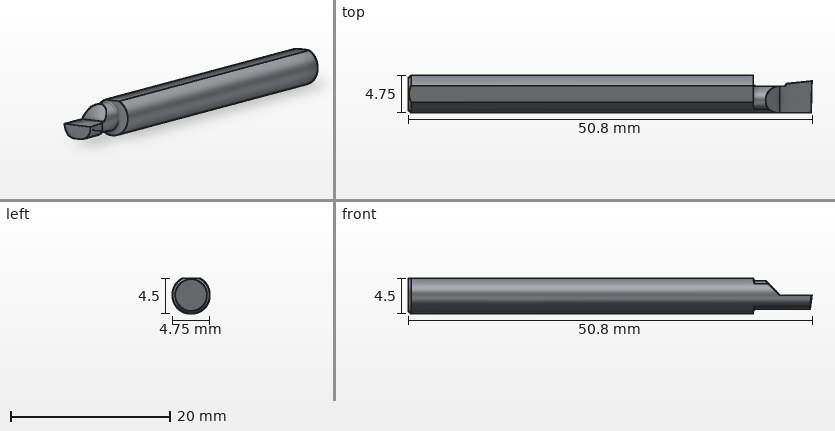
import cadquery as cq
import math

overall_length = 50.8
shank_diameter = 4.75
shank_radius = shank_diameter / 2
flat_height = 4.5
shank_length = 43.42
back_chamfer = 0.38

neck_radius = 1.8
neck_side_y = 1.0
neck_center_y = neck_side_y - neck_radius
root_fillet = 0.25

rake_face_z = 0.0
ramp_foot_x = 46.72
ramp_angle = 45.5

wing_start_x = 47.4
wing_step_length = 0.2
wing_start_y = 1.32
tip_y = 1.65
end_lean_angle = 1.5
end_relief_angle = 7


def x_cylinder(radius, center_y, start_x, end_x):
    """Solid cylinder parallel to X."""
    section = cq.Workplane("YZ", origin=(start_x, center_y, 0)).circle(radius)
    return section.extrude(end_x - start_x)


def make_shank():
    """Round shank with a chamfered back end and one flat along its top."""
    shank = x_cylinder(shank_radius, 0, 0, shank_length)
    shank = shank.faces("<X").chamfer(back_chamfer)
    flat_z = flat_height - shank_radius
    above_flat = (
        cq.Workplane("XY", origin=(0, 0, flat_z))
        .rect(2 * shank_length, 2 * shank_diameter)
        .extrude(shank_diameter)
    )
    return shank.cut(above_flat)


def make_neck():
    """Neck with a concave fillet where it meets the end of the shank."""
    fillet_end_x = shank_length + root_fillet
    fillet_mid = root_fillet * (1 - math.sqrt(0.5))
    profile = (
        cq.Workplane("XY")
        .moveTo(shank_length, neck_center_y)
        .lineTo(shank_length, neck_side_y + root_fillet)
        .threePointArc(
            (shank_length + fillet_mid, neck_side_y + fillet_mid),
            (fillet_end_x, neck_side_y),
        )
        .lineTo(overall_length, neck_side_y)
        .lineTo(overall_length, neck_center_y)
        .close()
    )
    return profile.revolve(360, (0, neck_center_y, 0), (1, neck_center_y, 0))


def make_wing():
    """Tapered cutting wing, rounded underneath with the neck's radius."""
    plan = (
        cq.Workplane("XY", origin=(0, 0, -neck_radius))
        .moveTo(wing_start_x, neck_center_y)
        .lineTo(wing_start_x, neck_side_y)
        .lineTo(wing_start_x + wing_step_length, wing_start_y)
        .lineTo(overall_length, tip_y)
        .lineTo(overall_length, neck_center_y)
        .close()
        .extrude(neck_radius + rake_face_z)
    )
    rounding = x_cylinder(neck_radius, tip_y - neck_radius, wing_start_x, overall_length)
    return plan.intersect(rounding)


def make_ramp_cutter():
    """Material above the rake face and the ramp leading down to it."""
    ramp_top_x = ramp_foot_x - shank_radius / math.tan(math.radians(ramp_angle))
    return (
        cq.Workplane("XZ")
        .moveTo(ramp_foot_x, rake_face_z)
        .lineTo(ramp_top_x, rake_face_z + shank_radius)
        .lineTo(overall_length, rake_face_z + shank_radius)
        .lineTo(overall_length, rake_face_z)
        .close()
        .extrude(shank_diameter, both=True)
    )


def make_end_cutter():
    """Block whose sloping face gives the end its lean and its relief."""
    size = 2 * shank_diameter
    block = cq.Workplane("XY").box(size, size, size, centered=(False, True, True))
    block = block.rotate((0, 0, 0), (0, 1, 0), end_relief_angle)
    block = block.rotate((0, 0, 0), (0, 0, 1), -end_lean_angle)
    return block.translate((overall_length, tip_y, rake_face_z))


shank_envelope = x_cylinder(shank_radius, 0, shank_length, overall_length)
head = make_neck().union(make_wing()).intersect(shank_envelope)
head = head.cut(make_ramp_cutter()).cut(make_end_cutter())
result = make_shank().union(head)